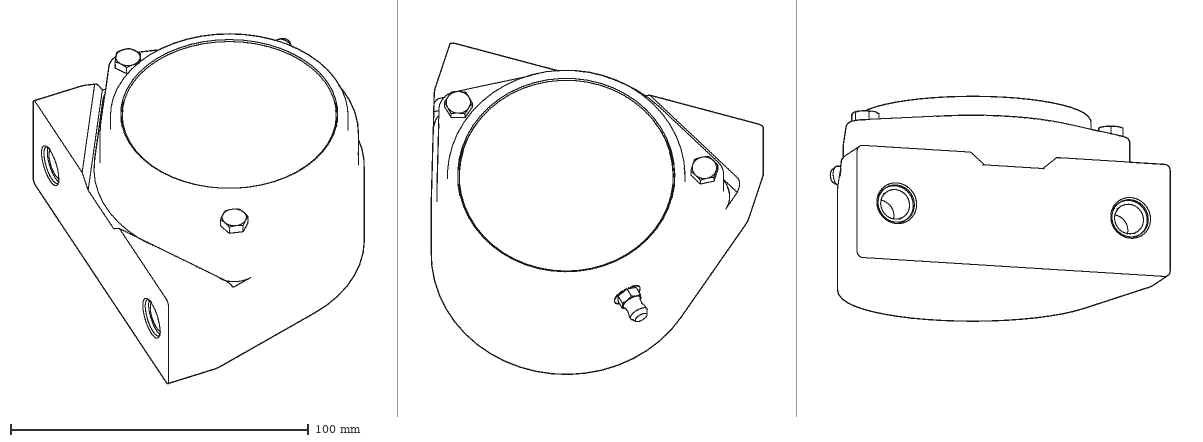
import cadquery as cq
import math


BASE_WIDTH = 110.1
BASE_HEIGHT = 38.5
FRONT_Y = -47.4
SIDE_ANGLE = 15.2
SIDE_BLEND_RADIUS = 9.9
EDGE_RADIUS = 2.0

FRONT_ANGLE = -60.0
RECESS_FLOOR_Z = 34.5
V_FLOOR_DISTANCE = 46.2
V_TOP_DISTANCE = 48.7

FLANGE_RADIUS = 43.5
FLANGE_CORNER_RADIUS = 6.5
FLANGE_TOP_Z = 52.9
BASE_RADIUS = FLANGE_RADIUS + EDGE_RADIUS
FOOT_SHOULDER_Z = 35.5
FOOT_CONCAVE_RADIUS = 0.9
FOOT_INSET = 2.2

RING_DIAMETER = 79.9
RING_TOP_Z = 60.0
RING_RADIUS = 1.0
CAP_SEAT_DIAMETER = 73.0
CAP_DIAMETER = 72.0
CAP_THICKNESS = 2.0
CAP_RECESS = 0.4
CAP_TOP_Z = RING_TOP_Z - CAP_RECESS
CAP_BOTTOM_Z = CAP_TOP_Z - CAP_THICKNESS

HOLE_SPACING = 82.2
HOLE_Z = 19.4
HOLE_MOUTH_DIAMETER = 14.0
COUNTERBORE_DIAMETER = 12.8
COUNTERBORE_DEPTH = 1.9
HOLE_DIAMETER = 10.1
HOLE_DEPTH = 19.8
DRILL_POINT_ANGLE = 118.0

HEX_HALF_SIDE_ANGLE = 30.0
HEX_CHAMFER_ANGLE = 30.0

BOLT_FLATS = 8.1
BOLT_HEIGHT = 3.2
LEFT_BOLT_TURN = 30.0
RIGHT_BOLT_TURN = 15.0

NIPPLE_ANGLE = 135.0
NIPPLE_Z = 45.9
SPOTFACE_DIAMETER = 9.8
SPOTFACE_DISTANCE = 43.0
NIPPLE_FLATS = 6.9
NIPPLE_HEX_END = 46.3
NIPPLE_COLLAR_DIAMETER = 6.5
NIPPLE_NECK_DIAMETER = 5.5
NIPPLE_NECK_END = 48.7
NIPPLE_HEAD_DIAMETER = 6.5
NIPPLE_HEAD_WIDEST = 51.3
NIPPLE_TIP_DIAMETER = 4.5
NIPPLE_TIP_END = 52.9


def polar(distance, angle):
    """Point at a distance from the origin, in a direction given in degrees."""
    return (distance * math.cos(math.radians(angle)), distance * math.sin(math.radians(angle)))


def shifted(point, offset):
    return (point[0] + offset[0], point[1] + offset[1])


def mirrored(point):
    return (-point[0], point[1])


CORNER_MID_ANGLE = (SIDE_ANGLE + FRONT_ANGLE) / 2
CORNER_HALF_ANGLE = math.radians((SIDE_ANGLE - FRONT_ANGLE) / 2)
CORNER_DISTANCE = (FLANGE_RADIUS - FLANGE_CORNER_RADIUS) / math.cos(CORNER_HALF_ANGLE)
FLANGE_CORNER = polar(CORNER_DISTANCE, CORNER_MID_ANGLE)


def flange_outline(z):
    """Closed flange outline, starting at the rear and running clockwise."""
    side_start = polar(FLANGE_RADIUS, SIDE_ANGLE)
    corner_start = shifted(FLANGE_CORNER, polar(FLANGE_CORNER_RADIUS, SIDE_ANGLE))
    corner_end = shifted(FLANGE_CORNER, polar(FLANGE_CORNER_RADIUS, FRONT_ANGLE))
    front_start = polar(FLANGE_RADIUS, FRONT_ANGLE)
    return (
        cq.Workplane("XY", origin=(0, 0, z))
        .moveTo(0, FLANGE_RADIUS)
        .threePointArc(polar(FLANGE_RADIUS, (90 + SIDE_ANGLE) / 2), side_start)
        .lineTo(*corner_start)
        .tangentArcPoint(corner_end, relative=False)
        .lineTo(*front_start)
        .threePointArc((0, -FLANGE_RADIUS), mirrored(front_start))
        .lineTo(*mirrored(corner_end))
        .tangentArcPoint(mirrored(corner_start), relative=False)
        .lineTo(*mirrored(side_start))
        .threePointArc(polar(FLANGE_RADIUS, 180 - (90 + SIDE_ANGLE) / 2), (0, FLANGE_RADIUS))
        .close()
    )


def base_block():
    half_width = BASE_WIDTH / 2
    side = math.radians(SIDE_ANGLE)
    side_start = polar(BASE_RADIUS, SIDE_ANGLE)
    side_vertex = (half_width, (BASE_RADIUS - half_width * math.cos(side)) / math.sin(side))
    blend_length = SIDE_BLEND_RADIUS * math.tan(side / 2)
    blend_start = shifted(side_vertex, polar(blend_length, SIDE_ANGLE + 90))
    blend_end = shifted(side_vertex, (0, -blend_length))
    return (
        cq.Workplane("XY")
        .moveTo(*mirrored(side_start))
        .threePointArc((0, BASE_RADIUS), side_start)
        .lineTo(*blend_start)
        .tangentArcPoint(blend_end, relative=False)
        .lineTo(half_width, FRONT_Y)
        .lineTo(-half_width, FRONT_Y)
        .lineTo(*mirrored(blend_end))
        .tangentArcPoint(mirrored(blend_start), relative=False)
        .close()
        .extrude(BASE_HEIGHT)
        .faces("<Z or >Z")
        .edges("not <Y")
        .fillet(EDGE_RADIUS)
    )


def v_recess():
    """Space above the recess floor and between the two sloped V walls."""
    rise = BASE_HEIGHT - RECESS_FLOOR_Z
    run = V_TOP_DISTANCE - V_FLOOR_DISTANCE
    section = [
        (-BASE_WIDTH, RECESS_FLOOR_Z),
        (V_FLOOR_DISTANCE, RECESS_FLOOR_Z),
        (V_FLOOR_DISTANCE + 2 * run, RECESS_FLOOR_Z + 2 * rise),
        (-BASE_WIDTH, RECESS_FLOOR_Z + 2 * rise),
    ]
    half_space = cq.Workplane("XZ").polyline(section).close().extrude(BASE_WIDTH, both=True)
    right = half_space.rotate((0, 0, 0), (0, 0, 1), FRONT_ANGLE)
    left = half_space.rotate((0, 0, 0), (0, 0, 1), 180 - FRONT_ANGLE)
    return right.intersect(left)


def flange_foot():
    """Rounded shoulder around the flange, blended into the flange wall by a concave radius."""
    centre_gap = EDGE_RADIUS + FOOT_CONCAVE_RADIUS
    wall_z = FOOT_SHOULDER_Z + math.sqrt(centre_gap**2 - FOOT_CONCAVE_RADIUS**2)
    blend_angle = math.degrees(math.acos(FOOT_CONCAVE_RADIUS / centre_gap))
    shoulder_centre = (FLANGE_RADIUS, FOOT_SHOULDER_Z)
    hollow_centre = (FLANGE_RADIUS + FOOT_CONCAVE_RADIUS, wall_z)
    section = (
        cq.Workplane("YZ")
        .moveTo(FLANGE_RADIUS - FOOT_INSET, RECESS_FLOOR_Z)
        .lineTo(BASE_RADIUS, RECESS_FLOOR_Z)
        .lineTo(BASE_RADIUS, FOOT_SHOULDER_Z)
        .threePointArc(
            shifted(shoulder_centre, polar(EDGE_RADIUS, blend_angle / 2)),
            shifted(shoulder_centre, polar(EDGE_RADIUS, blend_angle)),
        )
        .threePointArc(
            shifted(hollow_centre, polar(FOOT_CONCAVE_RADIUS, 180 + blend_angle / 2)),
            (FLANGE_RADIUS, wall_z),
        )
        .lineTo(FLANGE_RADIUS - FOOT_INSET, wall_z)
        .close()
    )
    return section.sweep(flange_outline(RECESS_FLOOR_Z))


def flange():
    height = FLANGE_TOP_Z - RECESS_FLOOR_Z
    return flange_outline(RECESS_FLOOR_Z).extrude(height).faces(">Z").edges().fillet(EDGE_RADIUS)


def ring():
    """Round boss on the flange, with a rounded rim and a flared root."""
    radius = RING_DIAMETER / 2
    diagonal = RING_RADIUS * (1 - math.sqrt(0.5))
    return (
        cq.Workplane("XZ")
        .moveTo(0, FLANGE_TOP_Z)
        .lineTo(radius + RING_RADIUS, FLANGE_TOP_Z)
        .threePointArc(
            (radius + diagonal, FLANGE_TOP_Z + diagonal),
            (radius, FLANGE_TOP_Z + RING_RADIUS),
        )
        .lineTo(radius, RING_TOP_Z - RING_RADIUS)
        .threePointArc(
            (radius - diagonal, RING_TOP_Z - diagonal),
            (radius - RING_RADIUS, RING_TOP_Z),
        )
        .lineTo(0, RING_TOP_Z)
        .close()
        .revolve(360, (0, 0, 0), (0, 1, 0))
    )


def mounting_hole(x):
    """Chamfered, counterbored blind hole with a drill point, entering from the front face."""
    mouth = HOLE_MOUTH_DIAMETER / 2
    counterbore = COUNTERBORE_DIAMETER / 2
    bore = HOLE_DIAMETER / 2
    point_depth = bore / math.tan(math.radians(DRILL_POINT_ANGLE / 2))
    section = [
        (0, 0),
        (mouth, 0),
        (counterbore, mouth - counterbore),
        (counterbore, COUNTERBORE_DEPTH),
        (bore, COUNTERBORE_DEPTH),
        (bore, HOLE_DEPTH),
        (0, HOLE_DEPTH + point_depth),
    ]
    return (
        cq.Workplane("XY", origin=(x, FRONT_Y, HOLE_Z))
        .polyline(section)
        .close()
        .revolve(360, (0, 0, 0), (0, 1, 0))
    )


def along_nipple(shape):
    """Lays a shape built along +Z onto the nipple axis, with its X axis turned upright."""
    lying = shape.rotate((0, 0, 0), (0, 1, 0), 90)
    return lying.rotate((0, 0, 0), (0, 0, 1), NIPPLE_ANGLE).translate((0, 0, NIPPLE_Z))


def nipple_spotface():
    cutter = cq.Workplane("XY", origin=(0, 0, SPOTFACE_DISTANCE)).circle(SPOTFACE_DIAMETER / 2)
    return along_nipple(cutter.extrude(BASE_RADIUS - SPOTFACE_DISTANCE))


def make_housing():
    body = base_block().cut(v_recess()).union(flange()).union(flange_foot()).union(ring())
    seat = cq.Workplane("XY", origin=(0, 0, CAP_BOTTOM_Z)).circle(CAP_SEAT_DIAMETER / 2)
    body = body.cut(seat.extrude(RING_TOP_Z - CAP_BOTTOM_Z)).cut(nipple_spotface())
    for side in (-1, 1):
        body = body.cut(mounting_hole(side * HOLE_SPACING / 2))
    return body


def make_cap():
    plane = cq.Workplane("XY", origin=(0, 0, CAP_BOTTOM_Z))
    return plane.circle(CAP_DIAMETER / 2).extrude(CAP_THICKNESS)


def hexagon_head(flats, height):
    """Upright hexagonal prism on the XY plane with its top corners chamfered."""
    flat_radius = flats / 2
    corner_radius = flat_radius / math.cos(math.radians(HEX_HALF_SIDE_ANGLE))
    drop = (corner_radius - flat_radius) * math.tan(math.radians(HEX_CHAMFER_ANGLE))
    prism = cq.Workplane("XY").polygon(6, 2 * corner_radius).extrude(height)
    envelope = (
        cq.Workplane("XZ")
        .lineTo(corner_radius, 0)
        .lineTo(corner_radius, height - drop)
        .lineTo(flat_radius, height)
        .lineTo(0, height)
        .close()
        .revolve(360, (0, 0, 0), (0, 1, 0))
    )
    return prism.intersect(envelope)


def make_bolt(centre, turn):
    head = hexagon_head(BOLT_FLATS, BOLT_HEIGHT).rotate((0, 0, 0), (0, 0, 1), turn)
    return head.translate((*centre, FLANGE_TOP_Z))


def arc_middle(start, end):
    """Middle of the arc in an (r, z) section that arrives at its end parallel to the axis."""
    widening = end[0] - start[0]
    length = end[1] - start[1]
    radius = (widening**2 + length**2) / (2 * widening)
    half_turn = math.degrees(math.asin(length / radius)) / 2
    return shifted((end[0] - radius, end[1]), polar(radius, -half_turn))


def make_nipple():
    """Hexagon seated on the spotface, a flared neck and a rounded head with a conical tip."""
    hexagon = hexagon_head(NIPPLE_FLATS, NIPPLE_HEX_END - SPOTFACE_DISTANCE)
    collar = (NIPPLE_COLLAR_DIAMETER / 2, NIPPLE_HEX_END)
    neck_end = (NIPPLE_NECK_DIAMETER / 2, NIPPLE_NECK_END)
    head_widest = (NIPPLE_HEAD_DIAMETER / 2, NIPPLE_HEAD_WIDEST)
    stem = (
        cq.Workplane("XZ")
        .moveTo(0, NIPPLE_TIP_END)
        .lineTo(0, NIPPLE_HEX_END)
        .lineTo(*collar)
        .threePointArc(arc_middle(collar, neck_end), neck_end)
        .threePointArc(arc_middle(neck_end, head_widest), head_widest)
        .lineTo(NIPPLE_TIP_DIAMETER / 2, NIPPLE_TIP_END)
        .close()
        .revolve(360, (0, 0, 0), (0, 1, 0))
    )
    return along_nipple(hexagon.translate((0, 0, SPOTFACE_DISTANCE)).union(stem))


housing = make_housing()
cap = make_cap()
bolts = [
    make_bolt(centre, turn)
    for centre, turn in (
        (mirrored(FLANGE_CORNER), LEFT_BOLT_TURN),
        (FLANGE_CORNER, RIGHT_BOLT_TURN),
    )
]
nipple = make_nipple()

result = cq.Compound.makeCompound(
    [housing.val(), cap.val(), *[bolt.val() for bolt in bolts], nipple.val()]
)